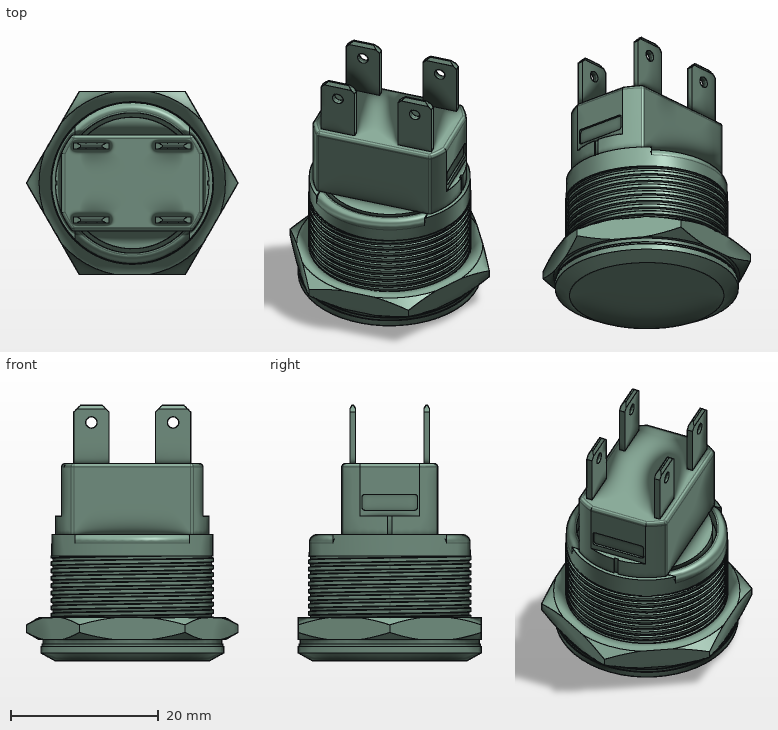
import cadquery as cq
import math


flange_radius = 12.4
flange_chamfer_height = 1.08
flange_face_radius = 10.45
flange_height = 1.93
lip_radius = 12.25
lip_top = 2.27
seal_radius = 12.12

nut_bottom = 2.86
nut_height = 3.0
nut_across_flats = 2 * flange_radius
nut_corner_diameter = nut_across_flats / math.cos(math.radians(30))
nut_face_radius = 12.6
nut_chamfer_angle = 30

thread_radius = 11.0
thread_pitch = 1.0
thread_depth = 0.25
thread_root_width = 0.35
thread_mouth_width = 0.55
thread_phase = 0.17
thread_overcut = 0.1
thread_top = 14.2

collar_radius = 10.9
collar_top = 17.1
collar_fillet = 1.15
collar_fillet_half_width = 7.75
ring_groove_inner_radius = 8.9
ring_groove_outer_radius = 9.5
ring_groove_depth = 2.0

block_radius = 10.4
block_half_length = 9.58
block_half_depth = 6.5
block_top = 26.7
block_edge_radius = 0.5
side_flat_bottom = 19.57
side_slot_length = 7.5
side_slot_bottom = 20.37
side_slot_top = 22.54
side_slot_depth = 0.3
side_slot_corner_radius = 0.4
key_groove_width = 0.6
key_groove_depth = 0.25

terminal_width = 4.8
terminal_thickness = 0.8
terminal_top = 34.6
terminal_spacing_x = 11.05
terminal_spacing_y = 10.0
terminal_corner = 0.95
terminal_bevel_height = 0.5
terminal_bevel_angle = 30
terminal_bevel_depth = terminal_bevel_height * math.tan(math.radians(terminal_bevel_angle))
terminal_hole_diameter = 1.5
terminal_hole_below_top = 2.35


def cylinder(radius, bottom, top):
    return cq.Workplane("XY").workplane(offset=bottom).circle(radius).extrude(top - bottom)


def flange_and_barrel():
    """Turned profile of the flange, sealing shoulder, barrel and collar."""
    return (
        cq.Workplane("XZ")
        .moveTo(0, 0)
        .lineTo(flange_face_radius, 0)
        .lineTo(flange_radius, flange_chamfer_height)
        .lineTo(flange_radius, flange_height)
        .lineTo(lip_radius, flange_height)
        .lineTo(lip_radius, lip_top)
        .lineTo(seal_radius, lip_top)
        .lineTo(seal_radius, nut_bottom)
        .lineTo(thread_radius, nut_bottom)
        .lineTo(thread_radius, thread_top)
        .lineTo(collar_radius, thread_top)
        .lineTo(collar_radius, collar_top)
        .lineTo(0, collar_top)
        .close()
        .revolve(360, (0, 0), (0, 1))
    )


def thread_groove():
    """Right-hand helical groove, limited to the threaded length."""
    start = (math.floor(nut_bottom / thread_pitch) - 1 + thread_phase) * thread_pitch
    length = thread_top + thread_pitch - start
    root_radius = thread_radius - thread_depth
    cutter_radius = thread_radius + thread_overcut
    flank_slope = (thread_mouth_width - thread_root_width) / (2 * thread_depth)
    root_half = thread_root_width / 2
    cutter_half = root_half + flank_slope * (thread_depth + thread_overcut)
    path = cq.Wire.makeHelix(thread_pitch, length, root_radius).translate(cq.Vector(0, 0, start))
    groove = (
        cq.Workplane("XZ")
        .polyline([
            (root_radius, start - root_half),
            (cutter_radius, start - cutter_half),
            (cutter_radius, start + cutter_half),
            (root_radius, start + root_half),
        ])
        .close()
        .sweep(cq.Workplane(path), isFrenet=True)
    )
    return groove.intersect(cylinder(flange_radius, nut_bottom, thread_top))


def collar_edge_rounding():
    """Material outside the rounded collar rim, on the -Y and +Y stretches only."""
    collar = cylinder(collar_radius, thread_top, collar_top)
    waste = collar.cut(collar.faces(">Z").edges().fillet(collar_fillet))
    stretch = cq.Workplane("XY").box(2 * collar_fillet_half_width, 2 * flange_radius, 2 * collar_top)
    return waste.intersect(stretch)


def ring_groove():
    """Annular groove in the collar's top face, running on underneath the block."""
    return (
        cq.Workplane("XY")
        .workplane(offset=collar_top - ring_groove_depth)
        .circle(ring_groove_outer_radius)
        .circle(ring_groove_inner_radius)
        .extrude(ring_groove_depth)
    )


def terminal_block():
    """Round block with flat -Y and +Y faces, rising from the collar's top face."""
    slab = cq.Workplane("XY").box(2 * block_radius, 2 * block_half_depth, 2 * block_top)
    block = cylinder(block_radius, collar_top, block_top).intersect(slab)
    block = block.edges("|Z").fillet(block_edge_radius)

    flat_height = block_top - side_flat_bottom
    flat_depth = block_radius - block_half_length
    slot_height = side_slot_top - side_slot_bottom
    key_height = side_flat_bottom - collar_top
    for side in (-1, 1):
        flat = cq.Workplane("XY").box(2 * flat_depth, 2 * block_radius, flat_height).translate(
            (side * block_radius, 0, side_flat_bottom + flat_height / 2))
        key = cq.Workplane("XY").box(2 * key_groove_depth, key_groove_width, key_height).translate(
            (side * block_radius, 0, collar_top + key_height / 2))
        block = block.cut(flat).cut(key)

    block = block.faces(">Z").edges().fillet(block_edge_radius)
    for side in (-1, 1):
        slot = (
            cq.Workplane("XY")
            .box(2 * side_slot_depth, side_slot_length, slot_height)
            .edges("|X")
            .fillet(side_slot_corner_radius)
            .translate((side * block_half_length, 0, side_slot_bottom + slot_height / 2))
        )
        block = block.cut(slot)
    return block


def make_housing():
    barrel = flange_and_barrel().cut(thread_groove())
    body = barrel.cut(collar_edge_rounding()).cut(ring_groove())
    return body.union(terminal_block())


def make_nut():
    """Hexagon nut with corners across X and a turned chamfer on both faces."""
    corner_radius = nut_corner_diameter / 2
    drop = (corner_radius - nut_face_radius) * math.tan(math.radians(nut_chamfer_angle))
    chamfer_envelope = (
        cq.Workplane("XZ", origin=(0, 0, nut_bottom))
        .moveTo(0, 0)
        .lineTo(nut_face_radius, 0)
        .lineTo(corner_radius, drop)
        .lineTo(corner_radius, nut_height - drop)
        .lineTo(nut_face_radius, nut_height)
        .lineTo(0, nut_height)
        .close()
        .revolve(360, (0, 0), (0, 1))
    )
    hexagon = (
        cq.Workplane("XY")
        .workplane(offset=nut_bottom)
        .polygon(6, nut_corner_diameter)
        .circle(thread_radius)
        .extrude(nut_height)
    )
    return hexagon.intersect(chamfer_envelope)


def make_terminal(x, y):
    """Blade standing on the block, with clipped corners, a bevelled tip and a cross hole."""
    height = terminal_top - block_top
    blade = (
        cq.Workplane("XY")
        .box(terminal_width, terminal_thickness, height, centered=(True, True, False))
        .faces(">Z")
        .edges("|X")
        .chamfer(terminal_bevel_height, terminal_bevel_depth)
    )
    outline = (
        cq.Workplane("XZ")
        .rect(terminal_width, 2 * height)
        .extrude(terminal_thickness, both=True)
        .faces(">Z")
        .edges("|Y")
        .chamfer(terminal_corner)
    )
    hole = (
        cq.Workplane("XZ")
        .center(0, height - terminal_hole_below_top)
        .circle(terminal_hole_diameter / 2)
        .extrude(terminal_thickness, both=True)
    )
    return blade.intersect(outline).cut(hole).translate((x, y, block_top))


housing = make_housing()
nut = make_nut()
terminals = [
    make_terminal(side_x * terminal_spacing_x / 2, side_y * terminal_spacing_y / 2)
    for side_x in (-1, 1)
    for side_y in (-1, 1)
]

result = cq.Compound.makeCompound([
    housing.val(),
    nut.val(),
    *[terminal.val() for terminal in terminals],
])